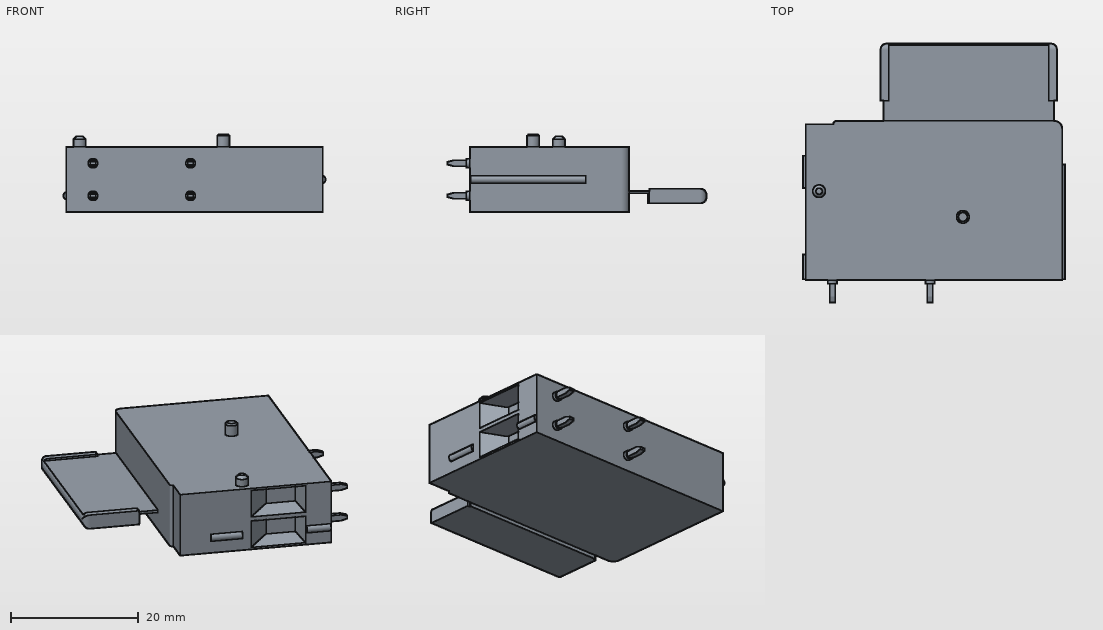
import cadquery as cq

OVERLAP = 0.2

BODY_WIDTH = 40.1
BODY_DEPTH = 24.9
BODY_HEIGHT = 10.15
BACK_CORNER_RADIUS = 1.25
NOTCH_WIDTH = 4.3
NOTCH_DEPTH = 0.5

PITCH = 5.1
ROWS = [PITCH / 2, PITCH * 3 / 2]
PIN_COLUMNS = [4.2, 19.45]

COLLAR_RADIUS = 0.75
COLLAR_LENGTH = 0.57
PIN_WIDTH = 0.9
PIN_HEIGHT = 1.0
PIN_LENGTH = 3.53
TIP_LENGTH = 1.0
TIP_HEIGHT = 0.4

FUNNEL_FRONT = 4.2
FUNNEL_BACK = 12.95
FUNNEL_HEIGHT = 4.4
FUNNEL_DEPTH = 2.85
THROAT_FRONT = 5.0
THROAT_BACK = 10.0
THROAT_HEIGHT = 2.75
THROAT_DEPTH = 0.3

KEY_REACH = 0.45
KEY_HEIGHT = 1.2
KEY_FRONT = 0.12
LEFT_FRONT_KEY_BACK = 4.0
LEFT_BACK_KEY = (14.4, 19.48)
RIGHT_KEY_BACK = 18.1

PEG_RADIUS = 1.0
SHORT_PEG_PLACE = (2.1, 13.9)
SHORT_PEG_HEIGHT = 1.7
SHORT_PEG_CHAMFER = 0.5
TALL_PEG_PLACE = (24.55, 9.9)
TALL_PEG_HEIGHT = 2.0
TALL_PEG_CHAMFER = 0.3

HANDLE_LEFT = 11.7
HANDLE_RIGHT = 39.28
HANDLE_FRONT = 28.05
HANDLE_BACK = 37.0
HANDLE_BOTTOM = 1.35
HANDLE_TOP = 3.65
HANDLE_RADIUS = 1.0
RAIL_WIDTH = 1.27
PLATE_INSET = 0.45
PLATE_TOP = 3.32
PLATE_THICKNESS = 0.4
CORE_FRONT = 27.8


def block(x0, x1, y0, y1, z0, z1):
    """Axis-aligned block between two opposite corners."""
    return cq.Workplane("XY").box(x1 - x0, y1 - y0, z1 - z0, centered=False).translate((x0, y0, z0))


def housing():
    """Block with a rounded back right corner and a shallow notch at the back left."""
    notch_floor = BODY_DEPTH - NOTCH_DEPTH
    return (
        cq.Workplane("XY")
        .lineTo(BODY_WIDTH, 0)
        .lineTo(BODY_WIDTH, BODY_DEPTH - BACK_CORNER_RADIUS)
        .radiusArc((BODY_WIDTH - BACK_CORNER_RADIUS, BODY_DEPTH), -BACK_CORNER_RADIUS)
        .lineTo(NOTCH_WIDTH + NOTCH_DEPTH, BODY_DEPTH)
        .radiusArc((NOTCH_WIDTH, notch_floor), -NOTCH_DEPTH)
        .lineTo(0, notch_floor)
        .close()
        .extrude(BODY_HEIGHT)
    )


def pin(column, row):
    """Round collar with a flat pin whose tip tapers in height."""
    collar = (
        cq.Workplane("XZ", origin=(column, OVERLAP, row))
        .circle(COLLAR_RADIUS)
        .extrude(COLLAR_LENGTH + OVERLAP)
    )
    taper_start = TIP_LENGTH - PIN_LENGTH
    blade = (
        cq.Workplane("YZ", origin=(column, 0, row))
        .polyline([
            (OVERLAP, -PIN_HEIGHT / 2),
            (taper_start, -PIN_HEIGHT / 2),
            (-PIN_LENGTH, -TIP_HEIGHT / 2),
            (-PIN_LENGTH, TIP_HEIGHT / 2),
            (taper_start, PIN_HEIGHT / 2),
            (OVERLAP, PIN_HEIGHT / 2),
        ])
        .close()
        .extrude(PIN_WIDTH / 2, both=True)
    )
    return collar.union(blade)


def wire_funnel(row):
    """Tapering wire entry ending in a short throat."""
    mouth_center = (FUNNEL_FRONT + FUNNEL_BACK) / 2
    throat_center = (THROAT_FRONT + THROAT_BACK) / 2
    funnel = (
        cq.Workplane("YZ", origin=(0, mouth_center, row))
        .rect(FUNNEL_BACK - FUNNEL_FRONT, FUNNEL_HEIGHT)
        .workplane(offset=FUNNEL_DEPTH)
        .center(throat_center - mouth_center, 0)
        .rect(THROAT_BACK - THROAT_FRONT, THROAT_HEIGHT)
        .loft(ruled=True)
    )
    throat_end = FUNNEL_DEPTH + THROAT_DEPTH
    throat = (
        cq.Workplane("XY", origin=(0, 0, row))
        .polyline([
            (FUNNEL_DEPTH, THROAT_FRONT),
            (throat_end, THROAT_FRONT),
            (throat_end, THROAT_BACK - THROAT_DEPTH),
            (FUNNEL_DEPTH, THROAT_BACK),
        ])
        .close()
        .extrude(THROAT_HEIGHT / 2, both=True)
    )
    return funnel.union(throat)


def side_key(face_x, outward, y_front, y_back, center_z):
    """Rounded key along Y; outward is -1 on the left face and 1 on the right face."""
    half = KEY_HEIGHT / 2
    return (
        cq.Workplane("XZ", origin=(face_x, y_back, center_z))
        .moveTo(0, -half)
        .threePointArc((outward * KEY_REACH, 0), (0, half))
        .lineTo(-outward * OVERLAP, half)
        .lineTo(-outward * OVERLAP, -half)
        .close()
        .extrude(y_back - y_front)
    )


def peg(place, height, chamfer):
    shaft = cq.Workplane("XY").circle(PEG_RADIUS).extrude(height + OVERLAP)
    shaft = shaft.faces(">Z").chamfer(chamfer)
    return shaft.translate((place[0], place[1], BODY_HEIGHT - OVERLAP))


def handle():
    """Grip with raised side rails, joined to the housing by a thin plate."""
    grip = block(HANDLE_LEFT, HANDLE_RIGHT, HANDLE_FRONT, HANDLE_BACK, HANDLE_BOTTOM, HANDLE_TOP)
    rounded_ends = grip.edges(">Y and |X").fillet(HANDLE_RADIUS)
    rounded_corners = grip.edges(">Y and |Z").fillet(HANDLE_RADIUS)
    grip = rounded_ends.intersect(rounded_corners)
    recess = block(
        HANDLE_LEFT + RAIL_WIDTH, HANDLE_RIGHT - RAIL_WIDTH,
        HANDLE_FRONT, HANDLE_BACK, PLATE_TOP, HANDLE_TOP,
    )
    grip = grip.cut(recess)

    plate_left = HANDLE_LEFT + PLATE_INSET
    plate_right = HANDLE_RIGHT - PLATE_INSET
    core_back = HANDLE_FRONT + OVERLAP
    core = block(plate_left, plate_right, CORE_FRONT, core_back, HANDLE_BOTTOM, PLATE_TOP)
    plate = block(
        plate_left, plate_right, BODY_DEPTH - OVERLAP, core_back,
        PLATE_TOP - PLATE_THICKNESS, PLATE_TOP,
    )
    return grip.union(core).union(plate)


result = housing().union(handle())
for row_z in ROWS:
    result = result.cut(wire_funnel(row_z))
    for column_x in PIN_COLUMNS:
        result = result.union(pin(column_x, row_z))

result = result.union(side_key(0, -1, KEY_FRONT, LEFT_FRONT_KEY_BACK, ROWS[0]))
result = result.union(side_key(0, -1, *LEFT_BACK_KEY, ROWS[0]))
result = result.union(side_key(BODY_WIDTH, 1, KEY_FRONT, RIGHT_KEY_BACK, BODY_HEIGHT / 2))
result = result.union(peg(SHORT_PEG_PLACE, SHORT_PEG_HEIGHT, SHORT_PEG_CHAMFER))
result = result.union(peg(TALL_PEG_PLACE, TALL_PEG_HEIGHT, TALL_PEG_CHAMFER))